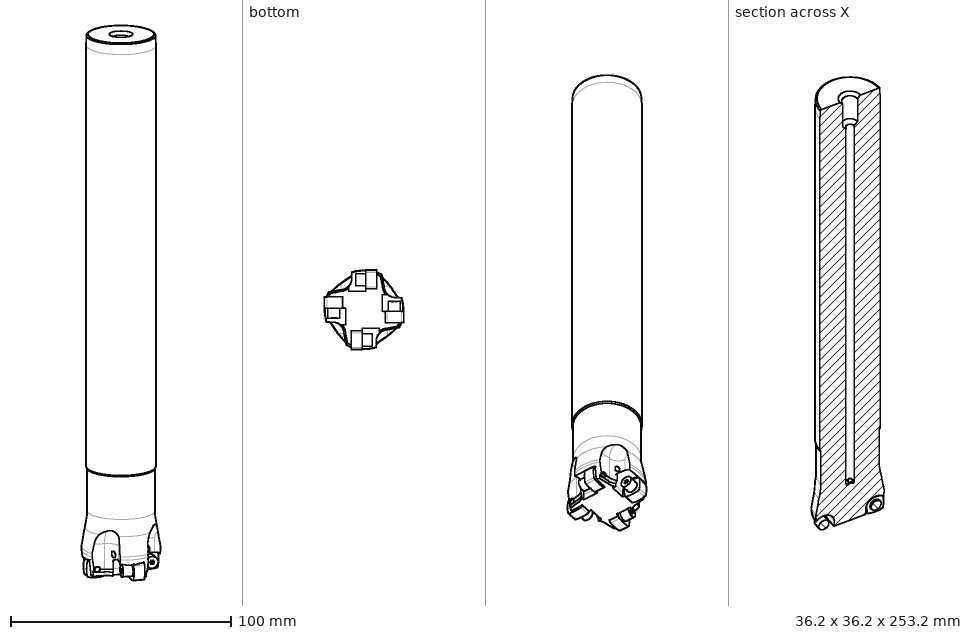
import cadquery as cq
import math


LENGTH = 253.2
CUTTING_DIAMETER = 36.2
CUTTING_RADIUS = CUTTING_DIAMETER / 2
TEETH = 4

SHANK_RADIUS = 16.0
NECK_RADIUS = 15.5
TAPER_START_RADIUS = 16.5
HEAD_RADIUS = 18.0
BOTTOM_RADIUS = 17.0
END_TAPER_RADIUS = 15.7
END_FACE_RADIUS = 15.0
END_TAPER_HEIGHT = 5.0
END_CHAMFER_HEIGHT = 0.5
NECK_TOP = 49.0
NECK_STEP_HEIGHT = 0.8
FLARE_TOP = 29.0
FLARE_BOTTOM = 21.3
HEAD_BAND_TOP = 12.2
HEAD_BAND_BOTTOM = 10.6
BODY_BOTTOM = 1.3

SOCKET_MOUTH_RADIUS = 5.3
SOCKET_RADIUS = 3.8
SOCKET_MOUTH_DEPTH = SOCKET_MOUTH_RADIUS - SOCKET_RADIUS
SOCKET_DEPTH = 15.2
COOLANT_BORE_RADIUS = 2.0
COOLANT_BORE_BOTTOM = 24.0

TOOTH_FACE_X = -5.5
GULLET_CORNER_RADIUS = 5.0
GULLET_FLOOR_Y = -9.0
GULLET_FLOOR_SLOPE = 0.2
GULLET_RUNOUT_Z = 16.7
GULLET_RUNOUT_RADIUS = 8.5
GULLET_REACH = 22.8

OUTLET_RADIUS = 1.0
OUTLET_Y = -11.0
OUTLET_Z = 11.6
OUTLET_START_Z = 25.3
OUTLET_OVERRUN = 1.3

UNDERCUT_DEPTH = 0.8
UNDERCUT_TOP = 4.5
UNDERCUT_BEVEL_BOTTOM = 3.0

INSERT_FACE_X = 0.8
INSERT_SIZE = 8.9
INSERT_THICKNESS = 5.0
INSERT_SIDE_BULGE = 0.5
INSERT_CORNER_RADIUS = 1.0
INSERT_CENTRE_RADIUS = CUTTING_RADIUS - INSERT_SIZE / 2
INSERT_CENTRE_Z = INSERT_SIZE / 2

CLEARANCE_RADIUS = 5.3
CLEARANCE_OVERRUN = 1.3

SCREW_HEAD_RADIUS = 2.8
SCREW_HEAD_HEIGHT = 4.5
SCREW_SHANK_RADIUS = 1.3
SCREW_SHANK_LENGTH = 7.0
SCREW_SOCKET_RADIUS = 1.0
SCREW_SOCKET_DEPTH = 2.0


def turned_blank():
    """Shank, neck, flared head and tapered ends, turned about Z."""
    flare_height = FLARE_TOP - FLARE_BOTTOM
    flare_growth = TAPER_START_RADIUS - NECK_RADIUS
    flare_arc_radius = (flare_height**2 + flare_growth**2) / (2 * flare_growth)
    half_height = flare_height / 2
    flare_mid_radius = NECK_RADIUS + flare_arc_radius - math.sqrt(flare_arc_radius**2 - half_height**2)
    return (
        cq.Workplane("XZ")
        .moveTo(0, BODY_BOTTOM)
        .lineTo(BOTTOM_RADIUS, BODY_BOTTOM)
        .lineTo(HEAD_RADIUS, HEAD_BAND_BOTTOM)
        .lineTo(HEAD_RADIUS, HEAD_BAND_TOP)
        .lineTo(TAPER_START_RADIUS, FLARE_BOTTOM)
        .threePointArc((flare_mid_radius, FLARE_TOP - half_height), (NECK_RADIUS, FLARE_TOP))
        .lineTo(NECK_RADIUS, NECK_TOP)
        .lineTo(SHANK_RADIUS, NECK_TOP + NECK_STEP_HEIGHT)
        .lineTo(SHANK_RADIUS, LENGTH - END_TAPER_HEIGHT)
        .lineTo(END_TAPER_RADIUS, LENGTH - END_CHAMFER_HEIGHT)
        .lineTo(END_FACE_RADIUS, LENGTH)
        .lineTo(0, LENGTH)
        .close()
        .revolve(360, (0, 0, 0), (0, 1, 0))
    )


def socket_and_bore():
    """Countersunk socket with a conical floor, leading into the coolant bore."""
    socket_floor = LENGTH - SOCKET_DEPTH
    cone_height = SOCKET_RADIUS - COOLANT_BORE_RADIUS
    return (
        cq.Workplane("XZ")
        .moveTo(0, LENGTH)
        .lineTo(SOCKET_MOUTH_RADIUS, LENGTH)
        .lineTo(SOCKET_RADIUS, LENGTH - SOCKET_MOUTH_DEPTH)
        .lineTo(SOCKET_RADIUS, socket_floor)
        .lineTo(COOLANT_BORE_RADIUS, socket_floor - cone_height)
        .lineTo(COOLANT_BORE_RADIUS, COOLANT_BORE_BOTTOM)
        .lineTo(0, COOLANT_BORE_BOTTOM)
        .close()
        .revolve(360, (0, 0, 0), (0, 1, 0))
    )


def gullet_plan(outer_y):
    """Gullet cross-section at the run-out height, closed off along y = outer_y."""
    corner_start_x = TOOTH_FACE_X - GULLET_CORNER_RADIUS
    corner_end_y = GULLET_FLOOR_Y - GULLET_CORNER_RADIUS
    arc_inset = GULLET_CORNER_RADIUS * math.sqrt(0.5)
    arc_middle = (corner_start_x + arc_inset, corner_end_y + arc_inset)
    floor_end_y = GULLET_FLOOR_Y + GULLET_FLOOR_SLOPE * (GULLET_REACH + corner_start_x)
    return (
        cq.Workplane("XY", origin=(0, 0, GULLET_RUNOUT_Z))
        .moveTo(-GULLET_REACH, floor_end_y)
        .lineTo(corner_start_x, GULLET_FLOOR_Y)
        .threePointArc(arc_middle, (TOOTH_FACE_X, corner_end_y))
        .lineTo(TOOTH_FACE_X, outer_y)
        .lineTo(-GULLET_REACH, outer_y)
        .close()
    )


def gullet():
    """Straight gullet whose top end curves outward about an axis parallel to X."""
    straight = gullet_plan(-GULLET_REACH).extrude(-GULLET_RUNOUT_Z)
    axis_y = GULLET_FLOOR_Y - GULLET_RUNOUT_RADIUS
    runout = gullet_plan(axis_y).revolve(180, (-2.5, axis_y, 0), (2.5, axis_y, 0))
    return straight.union(runout)


def coolant_outlet():
    """Inclined hole from the coolant bore to the rounded gullet corner."""
    corner_centre_x = TOOTH_FACE_X - GULLET_CORNER_RADIUS
    corner_centre_y = GULLET_FLOOR_Y - GULLET_CORNER_RADIUS
    outlet_x = corner_centre_x + math.sqrt(GULLET_CORNER_RADIUS**2 - (OUTLET_Y - corner_centre_y) ** 2)
    start = cq.Vector(0, 0, OUTLET_START_Z)
    end = cq.Vector(outlet_x, OUTLET_Y, OUTLET_Z)
    path = end - start
    drill = cq.Solid.makeCylinder(OUTLET_RADIUS, path.Length + OUTLET_OVERRUN, start, path)
    return cq.Workplane(drill)


def undercut():
    """Step along the foot of the gullet floor, with a bevel at its top."""
    bevel_height = UNDERCUT_TOP - UNDERCUT_BEVEL_BOTTOM
    outline = gullet_plan(-GULLET_REACH).wire().val()
    bevel_top = outline.translate(cq.Vector(0, 0, UNDERCUT_TOP - GULLET_RUNOUT_Z))
    bevel_bottom = bevel_top.translate(cq.Vector(0, UNDERCUT_DEPTH, -bevel_height))
    bevel = cq.Workplane(cq.Solid.makeLoft([bevel_top, bevel_bottom], True))
    step = cq.Workplane(bevel_bottom).toPending().extrude(-UNDERCUT_BEVEL_BOTTOM)
    return bevel.union(step)


def insert_plane(x):
    """Plane at the given x, centred on the insert, with its normal along +X."""
    return cq.Workplane("YZ", origin=(x, -INSERT_CENTRE_RADIUS, INSERT_CENTRE_Z))


def insert_blank():
    """Block with bulged sides and rounded corners that fills the insert seat."""
    reach = INSERT_SIZE / 2
    corner = reach - INSERT_SIDE_BULGE
    return (
        insert_plane(INSERT_FACE_X)
        .moveTo(-corner, -corner)
        .threePointArc((0, -reach), (corner, -corner))
        .threePointArc((reach, 0), (corner, corner))
        .threePointArc((0, reach), (-corner, corner))
        .threePointArc((-reach, 0), (-corner, -corner))
        .close()
        .extrude(INSERT_THICKNESS)
        .edges("|X")
        .fillet(INSERT_CORNER_RADIUS)
    )


def head_clearance():
    """Arched pocket from just ahead of the tooth face to the insert face, open at the bottom."""
    return (
        insert_plane(INSERT_FACE_X)
        .moveTo(-CLEARANCE_RADIUS, -CLEARANCE_RADIUS)
        .lineTo(CLEARANCE_RADIUS, -CLEARANCE_RADIUS)
        .lineTo(CLEARANCE_RADIUS, 0)
        .threePointArc((0, CLEARANCE_RADIUS), (-CLEARANCE_RADIUS, 0))
        .close()
        .extrude(TOOTH_FACE_X - CLEARANCE_OVERRUN - INSERT_FACE_X)
    )


def screw_hole():
    """Hole for the screw shank, from the insert through the back of the tooth."""
    return insert_plane(INSERT_FACE_X).circle(SCREW_SHANK_RADIUS).extrude(GULLET_REACH)


def cutting_insert():
    """Insert with its clamping screw, for the tooth on the -Y side."""
    head_face_x = INSERT_FACE_X - SCREW_HEAD_HEIGHT
    head = insert_plane(head_face_x).circle(SCREW_HEAD_RADIUS).extrude(SCREW_HEAD_HEIGHT)
    shank = insert_plane(INSERT_FACE_X).circle(SCREW_SHANK_RADIUS).extrude(SCREW_SHANK_LENGTH)
    socket = insert_plane(head_face_x).polygon(6, 2 * SCREW_SOCKET_RADIUS).extrude(SCREW_SOCKET_DEPTH)
    return insert_blank().union(head).union(shank).cut(socket)


def around_axis(shape, tooth):
    """Copy of a shape turned about Z to the given tooth."""
    return shape.rotate((0, 0, 0), (0, 0, 1), tooth * 360 / TEETH)


def cutter_body():
    """Shank and head with all gullets, pockets and holes cut."""
    body = turned_blank().cut(socket_and_bore())
    tools = [gullet(), undercut(), head_clearance(), insert_blank(), screw_hole(), coolant_outlet()]
    for tooth in range(TEETH):
        for tool in tools:
            body = body.cut(around_axis(tool, tooth))
    return body


body = cutter_body()
inserts = [around_axis(cutting_insert(), tooth) for tooth in range(TEETH)]

result = cq.Compound.makeCompound([body.val(), *[item.val() for item in inserts]])